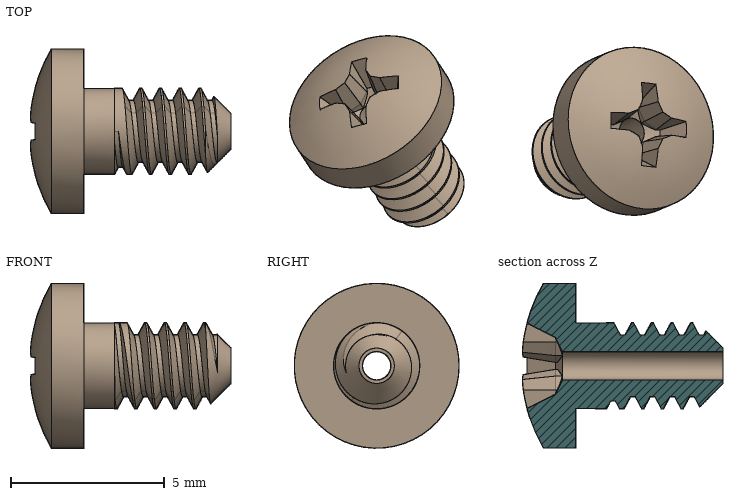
import cadquery as cq
import math


head_radius = 2.68
dome_radius = 5.345
dome_apex_x = -0.04
head_base_x = 1.735

thread_radius = 1.4
shank_radius = 1.395
shank_end_x = 2.73
tip_radius = 0.575
tip_x = 6.52
bore_radius = 0.455

root_radius = 1.01
pitch = 0.64
root_width = 0.155
crest_width = 0.065
groove_start_x = 2.785
groove_start_angle = 90.0
turns_per_section = 0.5
section_count = 10
runout_turns = 0.4
steps_per_turn = 24
cutter_overlap = 0.02

recess_start_x = -0.065
recess_depth = 1.135
mouth_reach = 1.49
mouth_half_width = 0.3
mouth_corner = 0.45
floor_reach = 0.92
floor_half_width = 0.114
floor_corner = 0.33
wing_root = 0.775
floor_cone_depth = 0.23


def make_body():
    dome_center_x = dome_apex_x + dome_radius

    def dome_x(radius):
        return dome_center_x - math.sqrt(dome_radius**2 - radius**2)

    chamfer = thread_radius - tip_radius
    profile = (
        cq.Workplane("XY")
        .moveTo(dome_apex_x, 0)
        .threePointArc((dome_x(head_radius / 2), head_radius / 2), (dome_x(head_radius), head_radius))
        .lineTo(head_base_x, head_radius)
        .lineTo(head_base_x, shank_radius)
        .lineTo(shank_end_x, shank_radius)
        .lineTo(shank_end_x, thread_radius)
        .lineTo(tip_x - chamfer, thread_radius)
        .lineTo(tip_x, tip_radius)
        .lineTo(tip_x, 0)
        .close()
    )
    return profile.revolve(360, (0, 0, 0), (1, 0, 0))


def make_groove():
    """Trapezoidal helical cutter bounded by ruled faces between its four edges."""
    outer_radius = thread_radius + cutter_overlap
    crest_half = (pitch - crest_width) / 2
    flank_slope = (crest_half - root_width / 2) / (thread_radius - root_radius)
    outer_half = crest_half + flank_slope * cutter_overlap

    def lift(turn):
        """Outward shift of the cutter, falling to zero at the end of the runout."""
        return (thread_radius - root_radius) * max(0, 1 - turn / runout_turns)

    def point(turn, at_root, side):
        radius = root_radius + lift(turn) if at_root else outer_radius
        half_width = root_width / 2 if at_root else outer_half - flank_slope * lift(turn)
        angle = math.radians(groove_start_angle + 360 * turn)
        x = groove_start_x + pitch * turn + side * half_width
        return cq.Vector(x, radius * math.cos(angle), radius * math.sin(angle))

    def section(first_turn, last_turn):
        count = max(4, round((last_turn - first_turn) * steps_per_turn))
        turns = [first_turn + (last_turn - first_turn) * i / count for i in range(count + 1)]
        corners = [(False, -1), (True, -1), (True, 1), (False, 1)]
        edges = [cq.Edge.makeSpline([point(t, *corner) for t in turns]) for corner in corners]
        faces = [cq.Face.makeRuledSurface(edges[i], edges[(i + 1) % 4]) for i in range(4)]
        for turn in (first_turn, last_turn):
            outline = cq.Wire.makePolygon([point(turn, *corner) for corner in corners], close=True)
            faces.append(cq.Face.makeFromWires(outline))
        return cq.Solid.makeSolid(cq.Shell.makeShell(faces)).fix()

    runout = section(0, runout_turns)
    breaks = [runout_turns + i * turns_per_section for i in range(section_count + 1)]
    full_depth = [section(first, last) for first, last in zip(breaks, breaks[1:])]
    shank_clearance = (
        cq.Workplane("YZ", origin=(shank_end_x, 0, 0)).circle(head_radius).extrude(tip_x)
    )
    return [shank_clearance.intersect(cq.Workplane(part)) for part in [runout, *full_depth]]


def cross_points(reach, half_width, corner):
    """Outline of a four-winged cross with bevelled inner corners."""
    wing = [
        (corner, -corner),
        (wing_root, -half_width),
        (reach, -half_width),
        (reach, half_width),
        (wing_root, half_width),
    ]
    points = []
    for quarter in range(4):
        c = round(math.cos(quarter * math.pi / 2))
        s = round(math.sin(quarter * math.pi / 2))
        points += [(c * y - s * z, s * y + c * z) for y, z in wing]
    return points


def make_recess():
    floor_x = recess_start_x + recess_depth
    floor_points = cross_points(floor_reach, floor_half_width, floor_corner)
    wings = (
        cq.Workplane("YZ", origin=(recess_start_x, 0, 0))
        .polyline(cross_points(mouth_reach, mouth_half_width, mouth_corner))
        .close()
        .workplane(offset=recess_depth)
        .polyline(floor_points)
        .close()
        .loft(ruled=True)
    )
    floor_cone = cq.Workplane(
        cq.Solid.makeCone(
            floor_reach, bore_radius, floor_cone_depth, cq.Vector(floor_x, 0, 0), cq.Vector(1, 0, 0)
        )
    )
    wing_floor = (
        cq.Workplane("YZ", origin=(floor_x, 0, 0))
        .polyline(floor_points)
        .close()
        .extrude(floor_cone_depth)
        .intersect(floor_cone)
    )
    return wings.union(wing_floor)


def make_bore():
    return cq.Workplane("YZ", origin=(recess_start_x, 0, 0)).circle(bore_radius).extrude(tip_x - recess_start_x)


result = make_body()
for groove_part in make_groove():
    result = result.cut(groove_part)
result = result.cut(make_recess()).cut(make_bore())